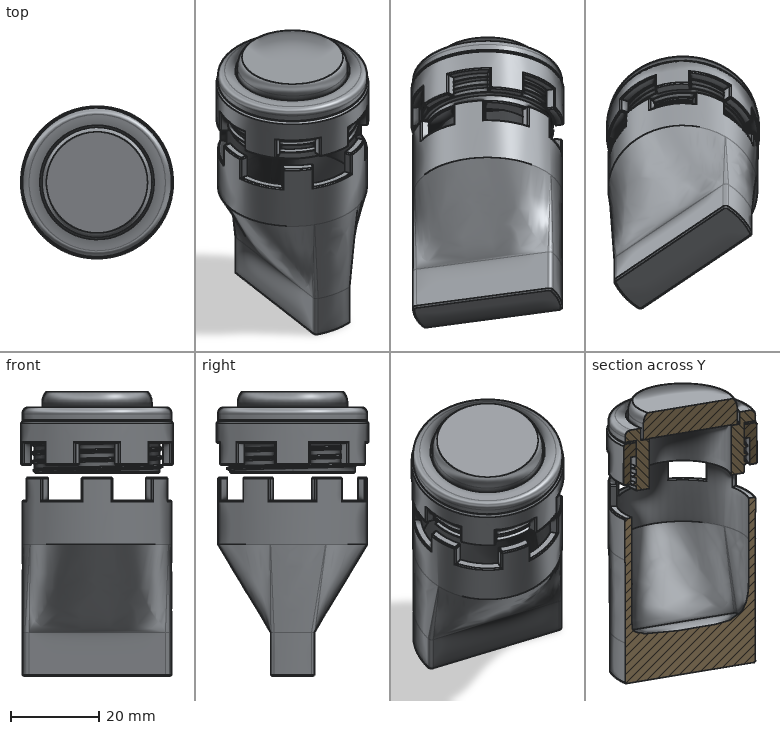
import cadquery as cq
import math

tooth_count = 6
tooth_pitch = 360 / tooth_count
half_pitch = tooth_pitch / 2
tooth_edge_chamfer = 0.3

base_dia = 34.0
base_bore_dia = 30.5
base_tooth_width = 7.1
blade_height = 10.0
blade_thickness = 10.0
blade_corner_radius = 1.0
blade_bottom_chamfer = 0.4
funnel_top = 30.0
base_rim = 40.0
base_top = 45.2
wall = (base_dia - base_bore_dia) / 2
cavity_corner_radius = 0.5
leading_seam_angle = 26.2
trailing_seam_angle = 17.5
seam_half_angle = 0.25

sleeve_bottom = 46.2
sleeve_dia = 28.5
sleeve_bore_dia = 22.0
sleeve_chamfer = 0.3
flange_dia = 34.0
flange_bottom = 58.3
flange_top = 61.2
flange_fillet = 1.5
recess_dia = 26.0

thread_dia = 30.0
thread_pitch = 2.0
thread_turns = 3.25
thread_start = 46.8
thread_start_angle = 195
thread_root_width = 0.9
thread_crest_width = 0.2
thread_embed = 0.4

ring_dia = 34.68
ring_bottom = 48.0
ring_top = 58.0
ring_window_top = 53.0
ring_skirt_bore_dia = 31.0
ring_skirt_bore_top = 54.5
ring_tooth_width = 8.0
ring_top_chamfer = 0.45

gasket_dia = 32.2

button_dia = 25.0
button_face_dia = 23.0
button_round_start = 62.2
button_top = 64.7


def disc(diameter, bottom, top):
    return cq.Workplane("XY").workplane(offset=bottom).circle(diameter / 2).extrude(top - bottom)


def tube(outer_dia, inner_dia, bottom, top):
    return disc(outer_dia, bottom, top).cut(disc(inner_dia, bottom, top))


def teeth(outer_dia, inner_dia, width, bottom, top):
    """Parallel-sided teeth in a circle, trimmed to the tube wall, the first half a pitch from X."""
    bars = cq.Workplane("XY")
    for i in range(tooth_count):
        bar = (
            cq.Workplane("XY")
            .workplane(offset=bottom)
            .center(outer_dia / 2, 0)
            .rect(outer_dia, width)
            .extrude(top - bottom)
            .rotate((0, 0, 0), (0, 0, 1), half_pitch + i * tooth_pitch)
        )
        bars = bars.union(bar)
    return bars.intersect(tube(outer_dia, inner_dia, bottom, top))


def chamfer_castellation(body, diameter, root, tip):
    """Chamfer the outer edge that runs around teeth and gaps, and the side edges of the tooth tips."""
    tolerance = 0.01
    bottom, top = min(root, tip), max(root, tip)

    def on_castellation(edge):
        ends = [edge.startPoint(), edge.endPoint()]
        outer_ends = [p for p in ends if abs(math.hypot(p.x, p.y) - diameter / 2) < tolerance]
        in_height = all(bottom - tolerance < p.z < top + tolerance for p in ends)
        at_tip = all(abs(p.z - tip) < tolerance for p in ends)
        is_rim = len(outer_ends) == len(ends)
        is_tip_side = at_tip and len(outer_ends) > 0
        return in_height and (is_rim or is_tip_side)

    edges = [e for e in body.edges().vals() if on_castellation(e)]
    return body.newObject(edges).chamfer(tooth_edge_chamfer)


def polar(radius, angle):
    turn = math.radians(angle)
    return (radius * math.cos(turn), radius * math.sin(turn))


def blade_outline(radius, thickness, corner_radius, height):
    """Closed outline: two flats along X, round ends of the given radius, filleted corners."""
    centre_y = thickness / 2 - corner_radius
    centre_x = math.sqrt((radius - corner_radius) ** 2 - centre_y**2)
    end_angle = math.degrees(math.atan2(centre_y, centre_x))
    end_x, end_y = polar(radius, end_angle)
    bisector = (end_angle + 90) / 2
    mid_x = centre_x + polar(corner_radius, bisector)[0]
    mid_y = centre_y + polar(corner_radius, bisector)[1]
    flat_y = thickness / 2
    return (
        cq.Workplane("XY")
        .workplane(offset=height)
        .moveTo(end_x, -end_y)
        .threePointArc((radius, 0), (end_x, end_y))
        .threePointArc((mid_x, mid_y), (centre_x, flat_y))
        .lineTo(-centre_x, flat_y)
        .threePointArc((-mid_x, mid_y), (-end_x, end_y))
        .threePointArc((-radius, 0), (-end_x, -end_y))
        .threePointArc((-mid_x, -mid_y), (-centre_x, -flat_y))
        .lineTo(centre_x, -flat_y)
        .threePointArc((mid_x, -mid_y), (end_x, -end_y))
        .close()
    )


def split_circle(radius, height):
    """Circle divided into eight arcs that pair with the eight edges of the blade outline."""
    seams = [
        -trailing_seam_angle,
        leading_seam_angle,
        180 - trailing_seam_angle,
        180 + leading_seam_angle,
        360 - trailing_seam_angle,
    ]
    angles = []
    for seam in seams:
        angles += [seam - seam_half_angle, seam + seam_half_angle]
    angles = angles[1:]
    outline = cq.Workplane("XY").workplane(offset=height).moveTo(*polar(radius, angles[0]))
    for start, end in zip(angles, angles[1:]):
        outline = outline.threePointArc(polar(radius, (start + end) / 2), polar(radius, end))
    return outline.close()


def funnel(diameter, thickness, corner_radius):
    lower = blade_outline(diameter / 2, thickness, corner_radius, blade_height).val()
    upper = split_circle(diameter / 2, funnel_top).val()
    return cq.Workplane(cq.Solid.makeLoft([lower, upper], True))


def make_base():
    cup = tube(base_dia, base_bore_dia, funnel_top, base_rim)
    cup = cup.union(teeth(base_dia, base_bore_dia, base_tooth_width, base_rim, base_top))
    cup = chamfer_castellation(cup, base_dia, base_rim, base_top)
    blade = blade_outline(base_dia / 2, blade_thickness, blade_corner_radius, 0).extrude(blade_height)
    blade = blade.faces("<Z").chamfer(blade_bottom_chamfer)
    shell = funnel(base_dia, blade_thickness, blade_corner_radius)
    shell = shell.cut(funnel(base_bore_dia, blade_thickness - 2 * wall, cavity_corner_radius))
    return blade.union(shell).union(cup)


def make_thread():
    helix = cq.Wire.makeHelix(thread_pitch, thread_pitch * thread_turns, sleeve_dia / 2)
    root = sleeve_dia / 2 - thread_embed
    crest = thread_dia / 2
    profile = cq.Workplane("XZ").polyline(
        [
            (root, -thread_root_width / 2),
            (sleeve_dia / 2, -thread_root_width / 2),
            (crest, -thread_crest_width / 2),
            (crest, thread_crest_width / 2),
            (sleeve_dia / 2, thread_root_width / 2),
            (root, thread_root_width / 2),
        ]
    ).close()
    ridge = profile.sweep(cq.Workplane(helix), isFrenet=True)
    return ridge.rotate((0, 0, 0), (0, 0, 1), thread_start_angle).translate((0, 0, thread_start))


def make_bezel():
    sleeve = disc(sleeve_dia, sleeve_bottom, flange_bottom).faces("<Z").chamfer(sleeve_chamfer)
    flange = disc(flange_dia, flange_bottom, flange_top).faces(">Z").edges().fillet(flange_fillet)
    body = sleeve.union(flange)
    body = body.cut(disc(recess_dia, flange_bottom, flange_top))
    body = body.cut(disc(sleeve_bore_dia, sleeve_bottom, flange_bottom))
    return body.union(make_thread())


def make_ring():
    collar = disc(ring_dia, ring_window_top, ring_top).faces(">Z").chamfer(ring_top_chamfer)
    collar = collar.cut(disc(sleeve_dia, ring_window_top, ring_top))
    collar = collar.cut(disc(ring_skirt_bore_dia, ring_window_top, ring_skirt_bore_top))
    ring = collar.union(
        teeth(ring_dia, ring_skirt_bore_dia, ring_tooth_width, ring_bottom, ring_window_top)
    )
    ring = chamfer_castellation(ring, ring_dia, ring_window_top, ring_bottom)
    return ring.rotate((0, 0, 0), (0, 0, 1), half_pitch)


def make_gasket():
    return tube(gasket_dia, sleeve_dia, ring_top, flange_bottom)


def make_button():
    """Cap resting on the floor of the bezel recess, its rounded edge tangent to the side."""
    inset = (button_dia - button_face_dia) / 2
    rise = button_top - button_round_start
    round_radius = (inset**2 + rise**2) / (2 * inset)
    half_sweep = math.asin(rise / round_radius) / 2
    mid_x = button_dia / 2 - round_radius * (1 - math.cos(half_sweep))
    mid_z = button_round_start + round_radius * math.sin(half_sweep)
    return (
        cq.Workplane("XZ")
        .moveTo(0, flange_bottom)
        .lineTo(button_dia / 2, flange_bottom)
        .lineTo(button_dia / 2, button_round_start)
        .threePointArc((mid_x, mid_z), (button_face_dia / 2, button_top))
        .lineTo(0, button_top)
        .close()
        .revolve(360, (0, 0), (0, 1))
    )


bodies = [make_base(), make_bezel(), make_ring(), make_gasket(), make_button()]
result = cq.Compound.makeCompound([body.solids().val() for body in bodies])